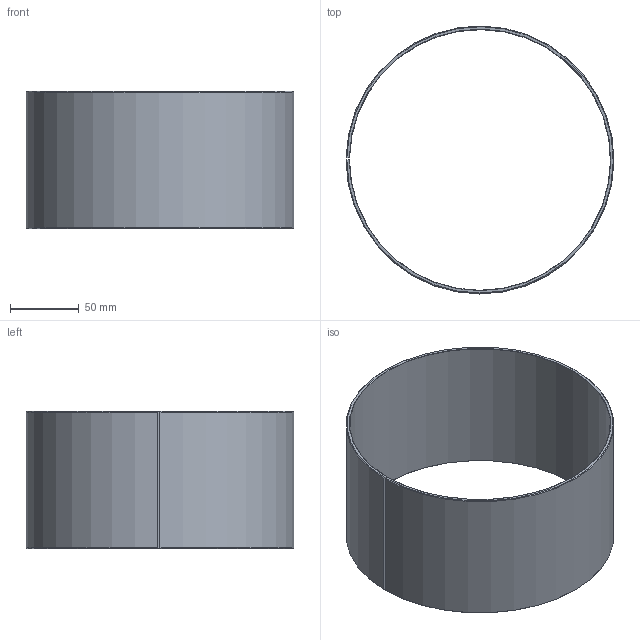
import cadquery as cq

outer_diameter = 195.0
wall_thickness = 2.5
height = 100.0
outer_chamfer = 0.5
inner_chamfer = 0.2
slit_angle = 1.0

outer_radius = outer_diameter / 2
inner_radius = outer_radius - wall_thickness
rim_outer_radius = outer_radius - outer_chamfer
rim_inner_radius = inner_radius + inner_chamfer
sweep_angle = 360 - slit_angle


def make_wall_section():
    """Cross-section of the wall on the -X side, with all four corners chamfered."""
    return (
        cq.Workplane("XZ")
        .moveTo(-rim_inner_radius, 0)
        .lineTo(-rim_outer_radius, 0)
        .lineTo(-outer_radius, outer_chamfer)
        .lineTo(-outer_radius, height - outer_chamfer)
        .lineTo(-rim_outer_radius, height)
        .lineTo(-rim_inner_radius, height)
        .lineTo(-inner_radius, height - inner_chamfer)
        .lineTo(-inner_radius, inner_chamfer)
        .close()
    )


def make_split_sleeve():
    """Sleeve swept about Z from the XZ plane, leaving a narrow slit on the +Y side of that plane."""
    axis_start = (0, 0)
    axis_end = (0, 1)
    return make_wall_section().revolve(sweep_angle, axis_start, axis_end)


result = make_split_sleeve()